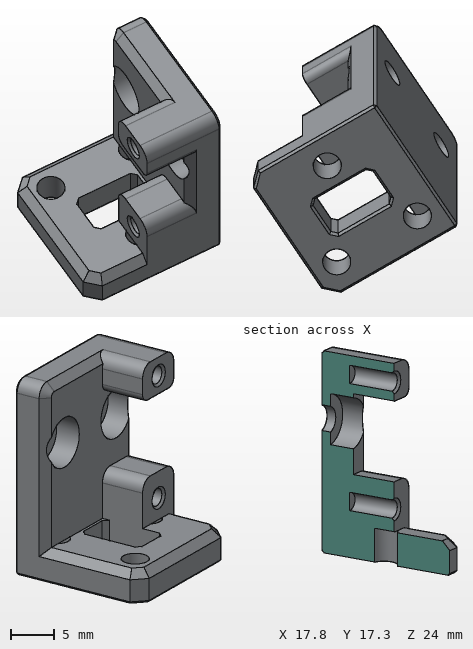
import cadquery as cq

WIDTH = 17.8
DEPTH = 17.3
HEIGHT = 24.0

FLOOR_THICKNESS = 4.0
WALL_THICKNESS = 4.3
CORNER_SIZE = 1.58
INNER_CHAMFER = 1.0
OUTER_CHAMFER = 0.3

BLOCK_WIDTH = 6.38
BLOCK_LENGTH = 9.8
UPPER_BLOCK_HEIGHT = 4.5
UPPER_BLOCK_LOWER_RADIUS = 1.0
LOWER_BLOCK_TOP = 9.95
BLOCK_HOLE_X = 14.7
BLOCK_HOLE_HEIGHTS = (6.67, 21.72)
BLOCK_HOLE_DIAMETER = 2.1
BLOCK_HOLE_MOUTH_CHAMFER = 0.3
BLOCK_HOLE_DEPTH = 6.0

SCREW_HOLE_DIAMETER = 3.2
COUNTERBORE_DIAMETER = 6.1
COUNTERBORE_FLOOR = 1.2
WALL_HOLE_XS = (3.65, 14.15)
WALL_HOLE_HEIGHT = 16.0

FLOOR_HOLE_LEFT_X = 3.55
FLOOR_HOLE_RIGHT_X = 14.25
FLOOR_HOLE_FRONT_Y = 3.25
FLOOR_HOLE_BACK_Y = 14.05
WINDOW_LEFT_X = 6.4
WINDOW_LENGTH_Y = 8.05
WINDOW_FRONT_Y = 4.6
WINDOW_CHAMFER = 0.6

WALL_FRONT_Y = DEPTH - WALL_THICKNESS
BLOCK_FRONT_Y = DEPTH - BLOCK_LENGTH
BLOCK_LEFT_X = WIDTH - BLOCK_WIDTH


def box_between(low, high):
    """Axis-aligned box from its low corner to its high corner."""
    sizes = [b - a for a, b in zip(low, high)]
    return cq.Workplane("XY").box(*sizes, centered=False).translate(low)


def rod_along_y(diameter, x, z, y_start, y_end):
    """Cylinder parallel to Y, used as a cutter."""
    face = cq.Workplane("XZ", origin=(x, y_start, z)).circle(diameter / 2)
    return face.extrude(y_start - y_end)


def make_floor():
    plate = box_between((0, 0, 0), (WIDTH, DEPTH, FLOOR_THICKNESS))
    plate = plate.edges("|Z and <Y").chamfer(CORNER_SIZE)
    return plate.faces(">Z").edges().chamfer(INNER_CHAMFER)


def make_wall():
    plate = box_between((0, WALL_FRONT_Y, 0), (WIDTH, DEPTH, HEIGHT))
    plate = plate.edges("|Y and >Z").fillet(CORNER_SIZE)
    return plate.faces("<Y").edges().chamfer(INNER_CHAMFER)


def make_block(bottom, top):
    block = box_between((BLOCK_LEFT_X, BLOCK_FRONT_Y, bottom), (WIDTH, DEPTH, top))
    return block.edges("|Y and >Z").fillet(CORNER_SIZE)


def cut_block_holes(body):
    mouth_diameter = BLOCK_HOLE_DIAMETER + 2 * BLOCK_HOLE_MOUTH_CHAMFER
    bottom_y = BLOCK_FRONT_Y + BLOCK_HOLE_DEPTH
    for z in BLOCK_HOLE_HEIGHTS:
        hole = rod_along_y(BLOCK_HOLE_DIAMETER, BLOCK_HOLE_X, z, BLOCK_FRONT_Y, bottom_y)
        mouth = cq.Workplane(
            cq.Solid.makeCone(
                mouth_diameter / 2,
                BLOCK_HOLE_DIAMETER / 2,
                BLOCK_HOLE_MOUTH_CHAMFER,
                pnt=cq.Vector(BLOCK_HOLE_X, BLOCK_FRONT_Y, z),
                dir=cq.Vector(0, 1, 0),
            )
        )
        body = body.cut(hole).cut(mouth)
    return body


def cut_wall_holes(body):
    counterbore_y = DEPTH - COUNTERBORE_FLOOR
    for x in WALL_HOLE_XS:
        hole = rod_along_y(SCREW_HOLE_DIAMETER, x, WALL_HOLE_HEIGHT, WALL_FRONT_Y, DEPTH)
        counterbore = rod_along_y(
            COUNTERBORE_DIAMETER, x, WALL_HOLE_HEIGHT, WALL_FRONT_Y, counterbore_y
        )
        body = body.cut(hole).cut(counterbore)
    return body


def cut_window(body):
    window = box_between(
        (WINDOW_LEFT_X, WINDOW_FRONT_Y, 0),
        (BLOCK_LEFT_X, WINDOW_FRONT_Y + WINDOW_LENGTH_Y, FLOOR_THICKNESS),
    )
    return body.cut(window.edges("|Z").chamfer(WINDOW_CHAMFER))


def cut_floor_holes(body):
    middle_y = (FLOOR_HOLE_FRONT_Y + FLOOR_HOLE_BACK_Y) / 2
    centers = [
        (FLOOR_HOLE_LEFT_X, FLOOR_HOLE_FRONT_Y),
        (FLOOR_HOLE_LEFT_X, FLOOR_HOLE_BACK_Y),
        (FLOOR_HOLE_RIGHT_X, middle_y),
    ]
    holes = cq.Workplane("XY").pushPoints(centers).circle(SCREW_HOLE_DIAMETER / 2)
    return body.cut(holes.extrude(FLOOR_THICKNESS))


upper_block = make_block(HEIGHT - UPPER_BLOCK_HEIGHT, HEIGHT)
upper_block = upper_block.edges("|Y and <Z").fillet(UPPER_BLOCK_LOWER_RADIUS)
lower_block = make_block(FLOOR_THICKNESS - INNER_CHAMFER, LOWER_BLOCK_TOP)

body = make_floor().union(make_wall()).union(upper_block).union(lower_block).clean()
body = cut_window(body)
body = body.faces(">Y or <Z").edges().chamfer(OUTER_CHAMFER)
body = cut_block_holes(body)
body = cut_wall_holes(body)
result = cut_floor_holes(body)